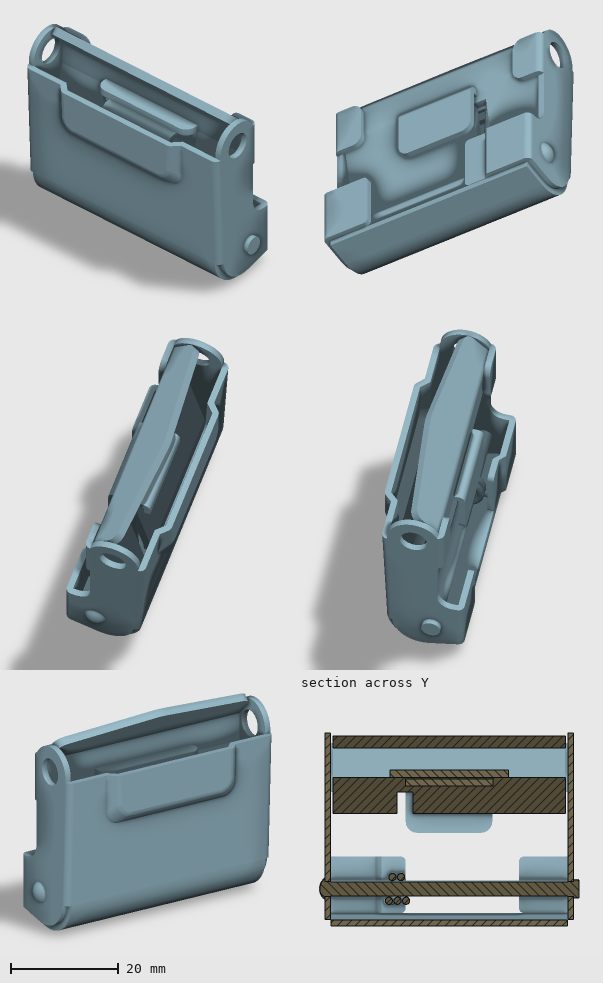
import cadquery as cq
import math


sheet = 1.2
outer_width = 46.4
outer_half = outer_width / 2
inner_half = outer_half - sheet
wall_top_z = 24.4

eye_y = -3.5
eye_z = 25.0
eye_radius = 5.0
eye_hole_diameter = 5.2
curl_y = -1.72
curl_inner_radius = 5.8
curl_outer_radius = curl_inner_radius + sheet
floor_angle = math.radians(11.8)
neck_y = 1.0
neck_fillet = 3.0
foot_y = 4.8
foot_top_z = 6.0
foot_bottom_z = -4.55

upper_flange_bottom_z = 18.0
upper_flange_top_z = 27.1
upper_flange_length = 6.25
upper_flange_corner = 2.1
lower_flange_corner = 1.0
right_flange_end_x = 13.0
jog_start_x = -13.7
jog_depth = 1.1
tongue_end_x = -8.05

pull_half_width = 14.6
pull_bottom_z = 14.6
pull_face_y = -11.3
pull_corner = 2.7
pull_draft = math.radians(45.0)
pull_edge_radius = 1.3
pull_growth = 4.0

pin_radius = 1.5
tail_radius = 1.8
head_radius = 2.05
head_height = 1.0
tail_length = 1.0

lever_half = 21.7
lever_sheet = 1.6
lever_back_y = neck_y
lever_front_y = lever_back_y - lever_sheet
lip_bend_z = 26.2
lip_top_z = 33.12
lip_angle = math.radians(45.0)
lip_shoulder_drop = 2.72
lip_corner = 2.0
lip_peak_radius = 10.0
slant_top_z = 20.8
slant_angle = math.radians(13.3)
slant_bottom_z = 1.5
shank_angle = math.radians(2.7)
shank_bottom_z = -3.5

ledge_half = 11.1
ledge_bottom_z = slant_top_z
ledge_thickness = 1.4
ledge_depth = 2.95
ledge_corner = 2.1
wedge_depth = 0.8
strap_half = 8.05
strap_sheet = 1.2
strap_bend_radius = 1.25
strap_back_y = 2.98
strap_front_y = -5.3
strap_top_z = 20.4
strap_back_end_z = 10.4
strap_front_end_z = 17.5
strap_end_corner = 2.1

wire_radius = 0.7
coil_radius = 2.3
coil_pitch = 1.6
coil_turns = 2.25
coil_start_x = -11.3
coil_end_x = coil_start_x + coil_pitch * coil_turns
back_leg_tip_x = -10.5
back_leg_gap = 0.21
front_leg_tip_x = -8.8
front_leg_tip_z = 19.6
leg_overlap = 0.4
joining_tolerance = 1e-4
spring_slot_clearance = 0.2


def polar(center, radius, angle):
    """Point on a circle in the YZ plane; the angle runs from +Y towards +Z."""
    return (center[0] + radius * math.cos(angle), center[1] + radius * math.sin(angle))


def box(x_range, y_range, z_range):
    size = [end - start for start, end in (x_range, y_range, z_range)]
    corner = (x_range[0], y_range[0], z_range[0])
    return cq.Workplane("XY").box(*size, centered=False).translate(corner)


def extrude_x(outline, x_start, x_end):
    return outline.extrude(x_end - x_start).translate((x_start, 0, 0))


eye_center = (eye_y, eye_z)
curl_center = (curl_y, 0)

center_offset_y = curl_y - eye_y
center_distance = math.hypot(center_offset_y, eye_z)
front_tilt = math.atan2(center_offset_y, eye_z) - math.asin((curl_inner_radius - eye_radius) / center_distance)
front_normal = math.pi + front_tilt
floor_normal = 1.5 * math.pi + floor_angle
curl_middle = (front_normal + floor_normal) / 2

floor_start = polar(curl_center, curl_inner_radius, floor_normal)
floor_end = (foot_y, floor_start[1] + (foot_y - floor_start[0]) * math.tan(floor_angle))

wall_base = polar(curl_center, curl_outer_radius, front_normal)
wall_normal = cq.Vector(0, math.cos(front_normal), math.sin(front_normal))
wall_down = cq.Vector(1, 0, 0).cross(wall_normal)
wall_length = 2 * wall_top_z


def side_plate(x_start):
    eye_back = (neck_y, eye_z + math.sqrt(eye_radius**2 - (neck_y - eye_y) ** 2))
    outline = (
        cq.Workplane("YZ")
        .moveTo(*eye_back)
        .threePointArc((eye_y, eye_z + eye_radius), polar(eye_center, eye_radius, front_normal))
        .lineTo(*polar(curl_center, curl_inner_radius, front_normal))
        .threePointArc(polar(curl_center, curl_inner_radius, curl_middle), floor_start)
        .lineTo(*floor_end)
        .lineTo(foot_y, foot_top_z)
        .lineTo(neck_y + neck_fillet, foot_top_z)
        .radiusArc((neck_y, foot_top_z + neck_fillet), neck_fillet)
        .close()
    )
    x_end = x_start + sheet
    eye_hole = cq.Workplane("YZ").center(*eye_center).circle(eye_hole_diameter / 2)
    pin_hole = cq.Workplane("YZ").circle(pin_radius)
    plate = extrude_x(outline, x_start, x_end)
    return plate.cut(extrude_x(eye_hole, x_start, x_end)).cut(extrude_x(pin_hole, x_start, x_end))


def front_wall():
    """Tilted wall whose outer side edges are rounded by the full sheet thickness."""
    section = cq.Plane(origin=(0, *wall_base), xDir=(1, 0, 0), normal=wall_down.toTuple())
    wall = (
        cq.Workplane(section)
        .moveTo(-outer_half, -sheet)
        .radiusArc((-inner_half, 0), sheet)
        .lineTo(inner_half, 0)
        .radiusArc((outer_half, -sheet), sheet)
        .close()
        .extrude(-wall_length)
    )
    return wall.intersect(box((-outer_half, outer_half), (-wall_length, wall_length), (-wall_length, wall_top_z)))


def curled_floor():
    outline = (
        cq.Workplane("YZ")
        .moveTo(*polar(curl_center, curl_inner_radius, front_normal))
        .threePointArc(polar(curl_center, curl_inner_radius, curl_middle), floor_start)
        .lineTo(*floor_end)
        .lineTo(*polar(floor_end, sheet, floor_normal))
        .lineTo(*polar(curl_center, curl_outer_radius, floor_normal))
        .threePointArc(
            polar(curl_center, curl_outer_radius, curl_middle),
            polar(curl_center, curl_outer_radius, front_normal),
        )
        .close()
    )
    return extrude_x(outline, -inner_half, inner_half)


def pull_block(shrink, depth, face_y, corner):
    """Drafted block that starts `depth` behind the wall surface and ends on an upright face."""
    bottom = pull_bottom_z + shrink
    base = cq.Vector(0, *wall_base) - wall_normal * depth
    plane = cq.Plane(origin=base.toTuple(), xDir=(1, 0, 0), normal=wall_normal.toTuple())
    half_width = pull_half_width - shrink
    inset = pull_growth * math.tan(pull_draft)

    def profile(margin):
        height = wall_length - bottom - 2 * margin
        return cq.Sketch().rect(2 * (half_width - margin), height).vertices().fillet(corner)

    block = (
        cq.Workplane(plane)
        .center(0, (wall_length + bottom) / 2)
        .placeSketch(profile(0), profile(inset).moved(cq.Location(cq.Vector(0, 0, pull_growth))))
        .loft(ruled=True)
    )
    return block.intersect(box((-half_width, half_width), (face_y, 0), (0, wall_top_z)))


def upper_flange():
    """Right-hand flange bent inwards from the neck of the side plate."""
    end_x = outer_half - upper_flange_length
    flange = (
        cq.Workplane("XY")
        .moveTo(end_x, neck_y)
        .lineTo(outer_half, neck_y)
        .radiusArc((inner_half, neck_y + sheet), -sheet)
        .lineTo(end_x, neck_y + sheet)
        .close()
        .extrude(upper_flange_top_z - upper_flange_bottom_z)
        .translate((0, 0, upper_flange_bottom_z))
    )
    return flange.edges("|Y and <X").fillet(upper_flange_corner)


def lower_right_flange():
    flange = (
        cq.Workplane("XY")
        .moveTo(right_flange_end_x, foot_y)
        .lineTo(outer_half, foot_y)
        .radiusArc((inner_half, foot_y + sheet), -sheet)
        .lineTo(right_flange_end_x, foot_y + sheet)
        .close()
        .extrude(foot_top_z - foot_bottom_z)
        .translate((0, 0, foot_bottom_z))
    )
    return flange.edges("|Y and <X").fillet(lower_flange_corner)


def lower_left_flange():
    """Flange that steps forward into a tongue, towards which the spring leg points."""
    back_y = foot_y + sheet
    jog_end_x = jog_start_x + jog_depth
    flange = (
        cq.Workplane("XY")
        .moveTo(-outer_half, foot_y)
        .radiusArc((-inner_half, back_y), sheet)
        .lineTo(jog_start_x, back_y)
        .lineTo(jog_end_x, back_y - jog_depth)
        .lineTo(tongue_end_x, back_y - jog_depth)
        .lineTo(tongue_end_x, foot_y - jog_depth)
        .lineTo(jog_end_x, foot_y - jog_depth)
        .lineTo(jog_start_x, foot_y)
        .close()
        .extrude(foot_top_z - foot_bottom_z)
        .translate((0, 0, foot_bottom_z))
    )
    return flange.edges("|Y and >X").fillet(lower_flange_corner)


def make_housing():
    pull = pull_block(0, 0, pull_face_y, pull_corner)
    pull = pull.faces("<Y").edges("not >Z").fillet(pull_edge_radius)
    hollow_shrink = sheet * math.tan(pull_draft / 2)
    hollow = pull_block(hollow_shrink, sheet, pull_face_y + sheet, pull_corner - sheet)
    body = front_wall().union(pull).cut(hollow).union(curled_floor())
    for x_start in (-outer_half, inner_half):
        body = body.union(side_plate(x_start))
    for flange in (upper_flange(), upper_flange().mirror("YZ"), lower_right_flange(), lower_left_flange()):
        body = body.union(flange)
    return body


def make_pin():
    cap_radius = (head_radius**2 + head_height**2) / (2 * head_height)
    tip_x = -outer_half - head_height
    tail_x = outer_half + tail_length
    return (
        cq.Workplane("XY")
        .moveTo(tip_x, 0)
        .radiusArc((-outer_half, head_radius), cap_radius)
        .lineTo(-outer_half, pin_radius)
        .lineTo(outer_half, pin_radius)
        .lineTo(outer_half, tail_radius)
        .lineTo(tail_x, tail_radius)
        .lineTo(tail_x, 0)
        .close()
        .revolve(360, (0, 0, 0), (1, 0, 0))
    )


slant_bottom_y = lever_front_y - (slant_top_z - slant_bottom_z) * math.tan(slant_angle)
shank_bottom_y = slant_bottom_y - (slant_bottom_z - shank_bottom_z) * math.tan(shank_angle)


def lever_leg():
    """Upright, slanted and nearly upright stretches, with the rounded bend on top."""
    bend_center = (lever_front_y, lip_bend_z)
    outline = (
        cq.Workplane("YZ")
        .moveTo(*bend_center)
        .lineTo(*polar(bend_center, lever_sheet, lip_angle))
        .threePointArc(polar(bend_center, lever_sheet, lip_angle / 2), (lever_back_y, lip_bend_z))
        .lineTo(lever_back_y, slant_top_z)
        .lineTo(slant_bottom_y + lever_sheet, slant_bottom_z)
        .lineTo(shank_bottom_y + lever_sheet, shank_bottom_z)
        .lineTo(shank_bottom_y, shank_bottom_z)
        .lineTo(slant_bottom_y, slant_bottom_z)
        .lineTo(lever_front_y, slant_top_z)
        .close()
    )
    return extrude_x(outline, -lever_half, lever_half)


def lever_lip():
    """Thumb lip leaning to the front, with a blunt peak in the middle."""
    front_face = cq.Plane(
        origin=(0, lever_front_y, lip_bend_z),
        xDir=(1, 0, 0),
        normal=(0, -math.cos(lip_angle), -math.sin(lip_angle)),
    )
    peak = (lip_top_z - lip_bend_z) / math.sin(lip_angle) - lever_sheet
    shoulder = peak - lip_shoulder_drop
    lip = (
        cq.Workplane(front_face)
        .moveTo(-lever_half, 0)
        .lineTo(lever_half, 0)
        .lineTo(lever_half, shoulder)
        .lineTo(0, peak)
        .lineTo(-lever_half, shoulder)
        .close()
        .extrude(-lever_sheet)
    )
    thickness_edges = cq.selectors.ParallelDirSelector(front_face.zDir)
    up_slope = cq.selectors.DirectionMinMaxSelector(front_face.yDir, True)
    lip = lip.newObject(lip.edges(thickness_edges).edges(up_slope).vals()).fillet(lip_peak_radius)
    shoulders = cq.selectors.BoxSelector(
        (-2 * lever_half, shank_bottom_y * 2, lip_bend_z + 2 * lever_sheet),
        (2 * lever_half, lever_back_y, lip_top_z),
    )
    return lip.edges(thickness_edges).edges("<X or >X").edges(shoulders).fillet(lip_corner)


def make_lever():
    lever = lever_leg().union(lever_lip())
    strap_window = box(
        (-strap_half, strap_half), (strap_front_y, strap_back_y), (strap_top_z - strap_sheet, strap_top_z)
    )
    slot_side = wire_radius + spring_slot_clearance
    spring_slot = box(
        (front_leg_tip_x - slot_side, coil_end_x + slot_side),
        (strap_front_y, lever_back_y),
        (0, slant_top_z - 4 * wire_radius),
    )
    return lever.cut(strap_window).cut(spring_slot)


def hook_ledge():
    ledge_front_y = lever_front_y - ledge_depth
    ledge = box(
        (-ledge_half, ledge_half),
        (ledge_front_y, lever_front_y),
        (ledge_bottom_z, ledge_bottom_z + ledge_thickness),
    )
    return ledge.edges("|Z and <Y").fillet(ledge_corner)


def hook_wedge():
    """Upright foot below the ledge that fills the angle above the slanted lever."""
    wedge_y = lever_front_y - wedge_depth
    outline = (
        cq.Workplane("YZ")
        .moveTo(lever_front_y, ledge_bottom_z)
        .lineTo(wedge_y, ledge_bottom_z)
        .lineTo(wedge_y, slant_top_z - wedge_depth / math.tan(slant_angle))
        .close()
    )
    return extrude_x(outline, -ledge_half, ledge_half)


def hook_strap():
    """Strap bent over at both ends, passing through the lever under the ledge."""
    inner_radius = strap_bend_radius - strap_sheet
    outer = box(
        (-strap_half, strap_half), (strap_front_y, strap_back_y), (strap_back_end_z, strap_top_z)
    )
    outer = outer.edges("|X and >Z").fillet(strap_bend_radius)
    inner = box(
        (-strap_half, strap_half),
        (strap_front_y + strap_sheet, strap_back_y - strap_sheet),
        (strap_back_end_z, strap_top_z - strap_sheet),
    )
    inner = inner.edges("|X and >Z").fillet(inner_radius)
    below_front = box(
        (-strap_half, strap_half), (strap_front_y, lever_front_y), (strap_back_end_z, strap_front_end_z)
    )
    strap = outer.cut(inner).cut(below_front)
    return strap.edges("|Y and <Z").edges("<X or >X").fillet(strap_end_corner)


def make_hook():
    return hook_ledge().union(hook_wedge()).union(hook_strap())


def straight_leg(coil_end, tip):
    """Straight wire that starts a little inside the end of the coil."""
    path = cq.Vector(*tip) - cq.Vector(*coil_end)
    start = cq.Vector(*coil_end) - path.normalized() * leg_overlap
    return cq.Workplane(cq.Solid.makeCylinder(wire_radius, path.Length + leg_overlap, start, path))


def make_spring():
    """Coil round the pin; one leg points to the tongue, the other one reaches up to the hook."""
    helix = cq.Wire.makeHelix(coil_pitch, coil_pitch * coil_turns, coil_radius, lefthand=True)
    coil = (
        cq.Workplane("XZ")
        .center(coil_radius, 0)
        .circle(wire_radius)
        .sweep(cq.Workplane(helix), isFrenet=True)
        .rotate((0, 0, 0), (0, 1, 0), 90)
        .translate((coil_start_x, 0, 0))
    )
    back_start = (coil_start_x, 0, -coil_radius)
    back_tip = (back_leg_tip_x, foot_y - jog_depth - back_leg_gap, -coil_radius)
    front_start = (coil_end_x, -coil_radius, 0)
    front_tip = (front_leg_tip_x, -coil_radius, front_leg_tip_z)
    spring = coil
    for start, tip in ((back_start, back_tip), (front_start, front_tip)):
        spring = spring.union(straight_leg(start, tip), tol=joining_tolerance)
    return spring


housing = make_housing()
pin = make_pin()
lever = make_lever()
hook = make_hook()
spring = make_spring()

result = cq.Compound.makeCompound([housing.val(), pin.val(), lever.val(), hook.val(), *spring.vals()])